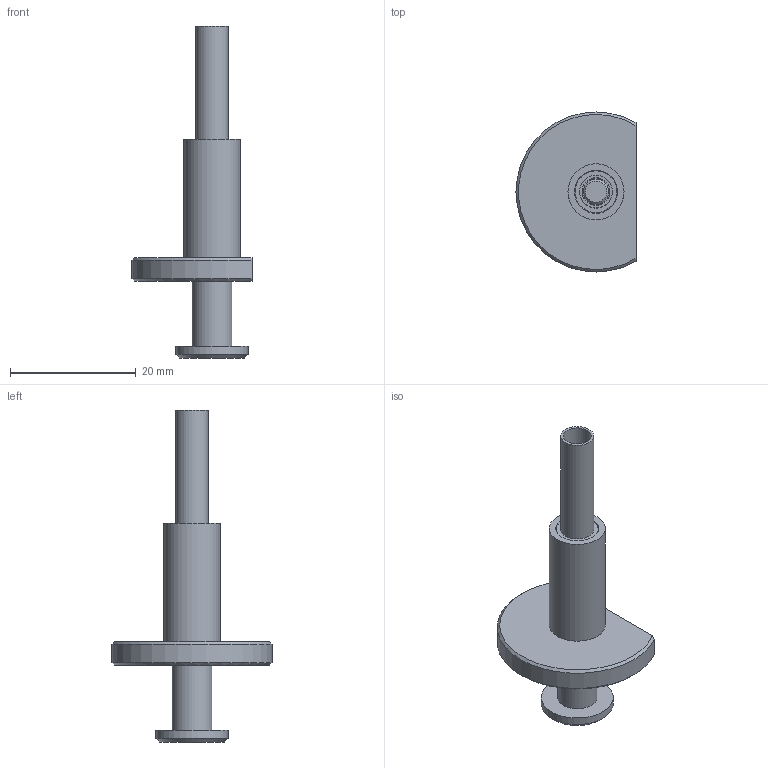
import cadquery as cq


flange_diameter = 25.4
flange_thickness = 3.75
flange_chamfer = 0.4
flat_distance = 6.35

overall_height = 52.7
stem_diameter = 6.3
stem_length = 10.3
head_diameter = 11.43
head_thickness = 1.9
head_chamfer = 0.63

sleeve_diameter = 8.89
sleeve_length = 18.8
recess_top_diameter = 6.85
recess_floor_diameter = 6.65
recess_depth = 0.25

tube_diameter = 5.2
tube_bore_diameter = 4.4
pin_diameter = 4.05
pin_chamfer = 0.32

head_top = -stem_length
head_bottom = head_top - head_thickness
sleeve_top = flange_thickness + sleeve_length
tube_top = head_bottom + overall_height
pin_base = sleeve_top


def cylinder(diameter, bottom, top):
    return cq.Workplane("XY").workplane(offset=bottom).circle(diameter / 2).extrude(top - bottom)


def frustum(bottom_diameter, top_diameter, bottom, top):
    return (
        cq.Workplane("XY")
        .workplane(offset=bottom)
        .circle(bottom_diameter / 2)
        .workplane(offset=top - bottom)
        .circle(top_diameter / 2)
        .loft(ruled=True)
    )


def make_flange():
    disc = cylinder(flange_diameter, 0, flange_thickness).edges().chamfer(flange_chamfer)
    beyond_flat = (
        cq.Workplane("XY")
        .box(flange_diameter, flange_diameter, flange_thickness, centered=(False, True, False))
        .translate((flat_distance, 0, 0))
    )
    return disc.cut(beyond_flat)


def make_stem_and_head():
    head = cylinder(head_diameter, head_bottom, head_top).faces("<Z").edges().chamfer(head_chamfer)
    stem = cylinder(stem_diameter, head_top, 0)
    return head.union(stem)


def make_sleeve():
    sleeve = cylinder(sleeve_diameter, flange_thickness, sleeve_top)
    recess = frustum(recess_floor_diameter, recess_top_diameter, sleeve_top - recess_depth, sleeve_top)
    return sleeve.cut(recess)


def make_tube_and_pin():
    tube = cylinder(tube_diameter, sleeve_top - recess_depth, tube_top)
    bore = cylinder(tube_bore_diameter, pin_base, tube_top)
    pin_tip_diameter = pin_diameter - 2 * pin_chamfer
    pin_tip = frustum(pin_diameter, pin_tip_diameter, pin_base, pin_base + pin_chamfer)
    return tube.cut(bore).union(pin_tip)


result = make_flange().union(make_stem_and_head()).union(make_sleeve()).union(make_tube_and_pin())